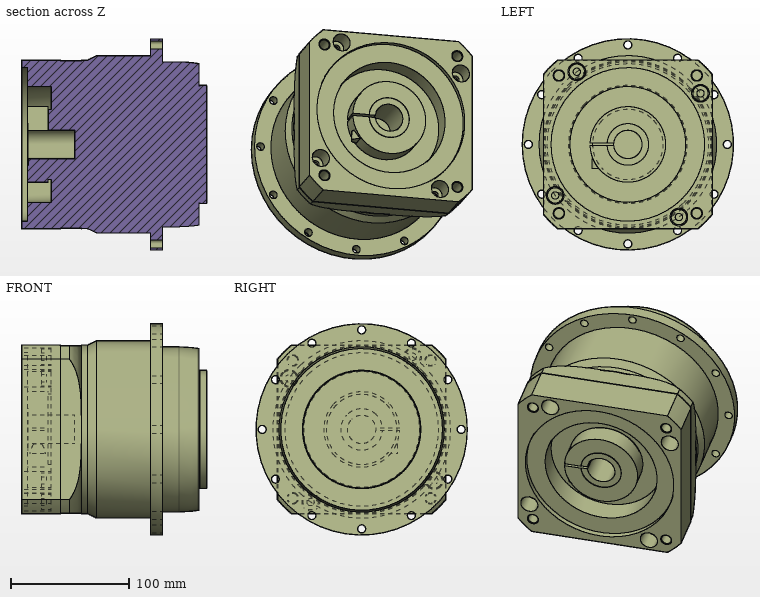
import cadquery as cq
import math


PLATE_END = 33.0
CORNER_END = 40.6
SQUARE_END = 50.6
NECK_END = 55.9
BODY_START = 63.5
FLANGE_START = 109.0
FLANGE_END = 119.5
TAPER_START = 133.4
PILOT_END = 150.4
TOTAL_LENGTH = 157.0

PLATE_SIDE = 143.0
PLATE_CORNER_RADIUS = 93.0
HOUSING_SIDE = 142.0
HOUSING_CORNER_RADIUS = 92.6

NECK_RADIUS = 71.5
BODY_RADIUS = 75.2
FLANGE_RADIUS = 89.5
PILOT_RADIUS = 70.0
PILOT_END_RADIUS = 68.7
PILOT_CHAMFER_LENGTH = 1.1
PILOT_CHAMFER_HEIGHT = 0.3
OUTPUT_RADIUS = 50.2
OUTPUT_CHAMFER = 0.6

FLANGE_HOLE_COUNT = 12
FLANGE_HOLE_CIRCLE_RADIUS = 84.2
FLANGE_HOLE_DIAMETER = 6.6

RECESS_RADIUS = 65.0
RECESS_DEPTH = 5.0
POCKET_RADIUS = 49.0
POCKET_FLOOR = 25.0

HUB_FACE = 5.0
HUB_RADIUS = 32.0
HUB_NECK_RADIUS = 29.8
HUB_NECK_LENGTH = 2.5
HUB_NECK_START = POCKET_FLOOR - HUB_NECK_LENGTH
BUSHING_RADIUS = 17.6
BUSHING_SETBACK = 0.5
SHAFT_BORE_RADIUS = 12.0
SHAFT_BORE_END = 45.0
SLOT_WIDTH = 2.0

SCREW_HEAD_RADIUS = 6.5
SCREW_HEAD_HEIGHT = 8.0
SOCKET_RADIUS = 3.1
SOCKET_DEPTH = 4.0
CLAMP_SCREW_Y = 24.0
CLAMP_SCREW_END_Z = -20.2
CLAMP_SCREW_X = (HUB_FACE + HUB_NECK_START) / 2

PLATE_SCREW_Y = 43.2
PLATE_SCREW_Z = 61.5
COUNTERBORE_RADIUS = 7.5
COUNTERBORE_DEPTH = 25.0

MOTOR_HOLE_CIRCLE_DIAMETER = 165.0
MOTOR_HOLE_RADIUS = 4.25
MOTOR_HOLE_DEPTH = 25.0
MOTOR_HOLE_CHAMFER = 0.6


def disc(radius, start, end, y=0.0, z=0.0):
    """Cylinder parallel to X between two stations."""
    return cq.Workplane("YZ", origin=(start, y, z)).circle(radius).extrude(end - start)


def square_block(side, start, end):
    """Square block centred on the main axis."""
    return cq.Workplane("YZ", origin=(start, 0, 0)).rect(side, side).extrude(end - start)


def revolve_about_x(profile):
    """Full turn of an XY profile about the main axis."""
    return profile.close().revolve(360, (0, 0, 0), (1, 0, 0))


def quarter_turns(feature):
    """Four copies of a feature, a quarter turn apart about the main axis."""
    copies = feature
    for turn in range(1, 4):
        copies = copies.union(feature.rotate((0, 0, 0), (1, 0, 0), 90 * turn))
    return copies


def adapter_plate():
    return square_block(PLATE_SIDE, 0, PLATE_END).intersect(disc(PLATE_CORNER_RADIUS, 0, PLATE_END))


def square_housing_end():
    """Square section whose corners are turned to a dome that is tangent to its end plane."""
    inner_radius = HOUSING_SIDE / 2
    dome_length = SQUARE_END - CORNER_END
    dome_height = HOUSING_CORNER_RADIUS - inner_radius
    dome_radius = (dome_length**2 + dome_height**2) / (2 * dome_length)
    half_angle = math.asin(dome_height / dome_radius) / 2
    dome_mid = (
        SQUARE_END - dome_radius * (1 - math.cos(half_angle)),
        inner_radius + dome_radius * math.sin(half_angle),
    )
    envelope = revolve_about_x(
        cq.Workplane("XY")
        .moveTo(PLATE_END, 0)
        .lineTo(PLATE_END, HOUSING_CORNER_RADIUS)
        .lineTo(CORNER_END, HOUSING_CORNER_RADIUS)
        .threePointArc(dome_mid, (SQUARE_END, inner_radius))
        .lineTo(SQUARE_END, 0)
    )
    return square_block(HOUSING_SIDE, PLATE_END, SQUARE_END).intersect(envelope)


def turned_housing():
    """Neck, body, bolting flange and centring pilot, whose far end curves gently inwards."""
    outline = [
        (SQUARE_END, 0),
        (SQUARE_END, NECK_RADIUS),
        (NECK_END, NECK_RADIUS),
        (BODY_START, BODY_RADIUS),
        (FLANGE_START, BODY_RADIUS),
        (FLANGE_START, FLANGE_RADIUS),
        (FLANGE_END, FLANGE_RADIUS),
        (FLANGE_END, PILOT_RADIUS),
        (TAPER_START, PILOT_RADIUS),
    ]
    return revolve_about_x(
        cq.Workplane("XY")
        .polyline(outline)
        .tangentArcPoint((PILOT_END - PILOT_CHAMFER_LENGTH, PILOT_END_RADIUS), relative=False)
        .lineTo(PILOT_END, PILOT_END_RADIUS - PILOT_CHAMFER_HEIGHT)
        .lineTo(PILOT_END, 0)
    )


def output_boss():
    return disc(OUTPUT_RADIUS, PILOT_END, TOTAL_LENGTH).faces("<X or >X").chamfer(OUTPUT_CHAMFER)


def flange_holes():
    return (
        cq.Workplane("YZ", origin=(FLANGE_START, 0, 0))
        .polarArray(FLANGE_HOLE_CIRCLE_RADIUS, 0, 360, FLANGE_HOLE_COUNT)
        .circle(FLANGE_HOLE_DIAMETER / 2)
        .extrude(FLANGE_END - FLANGE_START)
    )


def motor_cavity():
    return disc(RECESS_RADIUS, 0, RECESS_DEPTH).union(disc(POCKET_RADIUS, 0, POCKET_FLOOR))


def clamp_screw_head():
    return (
        cq.Workplane("XY", origin=(CLAMP_SCREW_X, CLAMP_SCREW_Y, CLAMP_SCREW_END_Z))
        .circle(SCREW_HEAD_RADIUS)
        .extrude(SCREW_HEAD_HEIGHT)
    )


def clamping_hub():
    """Slit clamping ring on a slimmer neck, with the clamp screw head on its -Z side."""
    ring = disc(HUB_RADIUS, HUB_FACE, HUB_NECK_START)
    neck = disc(HUB_NECK_RADIUS, HUB_NECK_START, POCKET_FLOOR)
    slot = cq.Workplane("XY", origin=(HUB_FACE, 0, 0)).box(
        HUB_NECK_START - HUB_FACE, HUB_RADIUS, SLOT_WIDTH, centered=(False, False, True)
    )
    bushing_recess = disc(BUSHING_RADIUS, HUB_FACE, HUB_FACE + BUSHING_SETBACK)
    return ring.union(neck).union(clamp_screw_head()).cut(slot).cut(bushing_recess)


def shaft_bore():
    return disc(SHAFT_BORE_RADIUS, HUB_FACE, SHAFT_BORE_END)


def plate_screw_pocket():
    """Counterbore left empty around a socket head screw."""
    head_top = COUNTERBORE_DEPTH - SCREW_HEAD_HEIGHT
    counterbore = disc(COUNTERBORE_RADIUS, 0, COUNTERBORE_DEPTH, PLATE_SCREW_Y, PLATE_SCREW_Z)
    head = disc(SCREW_HEAD_RADIUS, head_top, COUNTERBORE_DEPTH, PLATE_SCREW_Y, PLATE_SCREW_Z)
    socket = (
        cq.Workplane("YZ", origin=(head_top, PLATE_SCREW_Y, PLATE_SCREW_Z))
        .circle(SOCKET_RADIUS)
        .extrude(SOCKET_DEPTH)
    )
    return counterbore.cut(head.cut(socket))


def motor_hole():
    """Plain hole with a countersunk mouth, on the diagonal of the plate."""
    offset = MOTOR_HOLE_CIRCLE_DIAMETER / 2 * math.cos(math.radians(45))
    mouth = (
        cq.Workplane("YZ", origin=(0, offset, offset))
        .circle(MOTOR_HOLE_RADIUS + MOTOR_HOLE_CHAMFER)
        .workplane(offset=MOTOR_HOLE_CHAMFER)
        .circle(MOTOR_HOLE_RADIUS)
        .loft()
    )
    return disc(MOTOR_HOLE_RADIUS, 0, MOTOR_HOLE_DEPTH, offset, offset).union(mouth)


housing = adapter_plate().union(square_housing_end()).union(turned_housing()).union(output_boss())
housing = housing.cut(flange_holes()).cut(motor_cavity())
housing = housing.cut(quarter_turns(plate_screw_pocket())).cut(quarter_turns(motor_hole()))

result = housing.union(clamping_hub()).cut(shaft_bore())